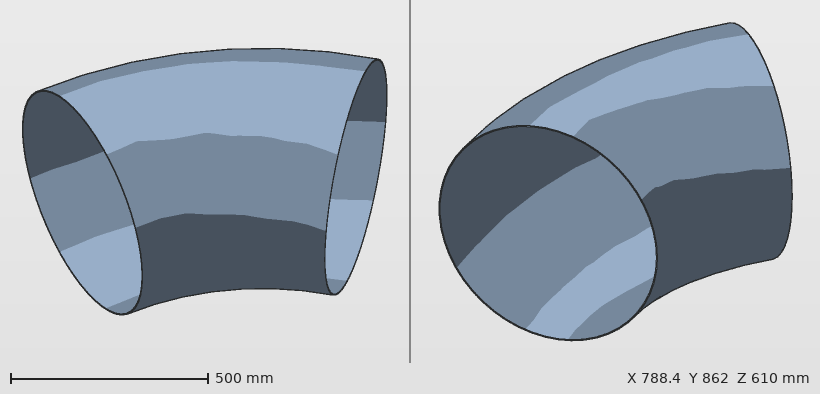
import cadquery as cq
import math

overall_length = 862.0
outer_diameter = 610.0
wall_thickness = 3.0
bend_angle = 45.0

outer_radius = outer_diameter / 2
inner_radius = outer_radius - wall_thickness

outermost_radius = overall_length / math.sin(math.radians(bend_angle))
bend_radius = outermost_radius - outer_radius

axis_start = (bend_radius, 0)
axis_end = (bend_radius, -1)

result = (
    cq.Workplane("XZ")
    .circle(outer_radius)
    .circle(inner_radius)
    .revolve(bend_angle, axis_start, axis_end)
)